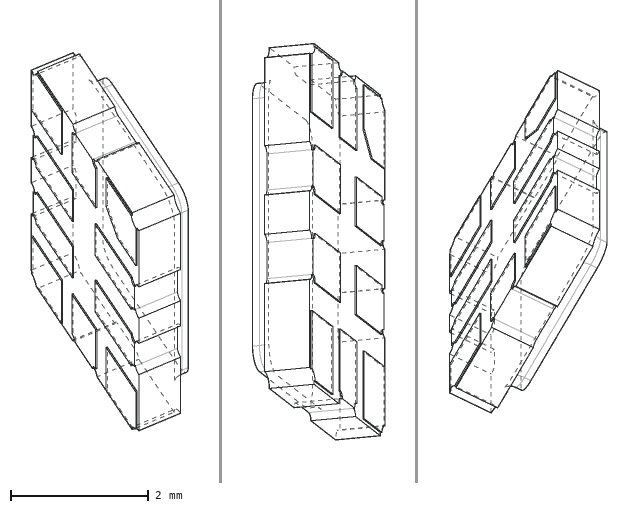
import cadquery as cq

body_width = 3.35
body_height = 5.15
body_thickness = 0.69
corner_radius = 0.2

groove_length = 0.74
groove_depth = 0.1
side_groove_z = 0.67

pad_thickness = 0.02
end_pad_reach = 1.03
side_pad_reach = 1.225
corner_pad_width = 0.925
corner_pad_height = 1.025
corner_pad_margin = 0.05
marker_chamfer = 0.355

lid_width = 2.655
lid_height = 4.345
lid_corner_radius = 0.305
lid_rim = 0.11
lid_flare = 0.2
lid_thickness = lid_rim + lid_flare

half_width = body_width / 2
half_height = body_height / 2
corners = [(sx * half_width, sz * half_height) for sx in (-1, 1) for sz in (-1, 1)]


def plane_at(y):
    """Sketch plane facing the front: local x is X, local y is Z."""
    return cq.Workplane("XZ", origin=(0, y, 0))


def plain_body_with_lid():
    body = plane_at(0).rect(body_width, body_height).extrude(-body_thickness)
    lid = (
        plane_at(body_thickness)
        .rect(lid_width, lid_height)
        .extrude(-lid_thickness)
        .edges("|Y")
        .fillet(lid_corner_radius)
    )
    margin = lid_rim / 2
    box_x = lid_width / 2 + margin
    box_z = lid_height / 2 + margin
    joint = cq.selectors.BoxSelector(
        (-box_x, body_thickness - margin, -box_z),
        (box_x, body_thickness + margin, box_z),
        boundingbox=True,
    )
    return body.union(lid).edges(joint).fillet(lid_flare)


def grooves():
    """Slots centred on the edge faces, so half of each slot cuts the body."""
    side = (
        plane_at(0)
        .pushPoints([(sx * half_width, sz * side_groove_z) for sx in (-1, 1) for sz in (-1, 1)])
        .slot2D(groove_length, 2 * groove_depth, 90)
        .extrude(-body_thickness)
    )
    ends = (
        plane_at(0)
        .pushPoints([(0, half_height), (0, -half_height)])
        .slot2D(groove_length, 2 * groove_depth)
        .extrude(-body_thickness)
    )
    return side.union(ends)


def corner_cutters():
    """Round cutters through both the pads and the body at its four corners."""
    return (
        plane_at(-pad_thickness)
        .pushPoints(corners)
        .circle(corner_radius)
        .extrude(-(pad_thickness + body_thickness))
    )


def groove_pad(reach):
    """Pad hanging down from a groove floor at the origin, upper corners scooped out."""
    pad = plane_at(0).center(0, -reach / 2).rect(groove_length, reach).extrude(pad_thickness)
    scoops = (
        plane_at(0)
        .pushPoints([(-groove_length / 2, 0), (groove_length / 2, 0)])
        .circle(groove_depth)
        .extrude(pad_thickness)
    )
    return pad.cut(scoops)


def groove_pads():
    end_pad = groove_pad(end_pad_reach).translate((0, 0, half_height - groove_depth))
    pads = [end_pad, end_pad.mirror("XY")]

    right_pad = groove_pad(side_pad_reach).rotate((0, 0, 0), (0, 1, 0), 90)
    right_pad = right_pad.translate((half_width - groove_depth, 0, 0))
    for z in (-side_groove_z, side_groove_z):
        pad = right_pad.translate((0, 0, z))
        pads += [pad, pad.mirror("YZ")]
    return pads


def corner_pads():
    center_x = half_width - corner_pad_margin - corner_pad_width / 2
    center_z = half_height - corner_pad_margin - corner_pad_height / 2
    pads = []
    for sx in (-1, 1):
        for sz in (-1, 1):
            pad = (
                plane_at(0)
                .center(sx * center_x, sz * center_z)
                .rect(corner_pad_width, corner_pad_height)
                .extrude(pad_thickness)
            )
            if sx > 0 and sz > 0:
                pad = pad.edges("|Y and <X and <Z").chamfer(marker_chamfer)
            pads.append(pad)
    return pads


result = plain_body_with_lid().cut(grooves())
for contact_pad in groove_pads() + corner_pads():
    result = result.union(contact_pad)
result = result.cut(corner_cutters())